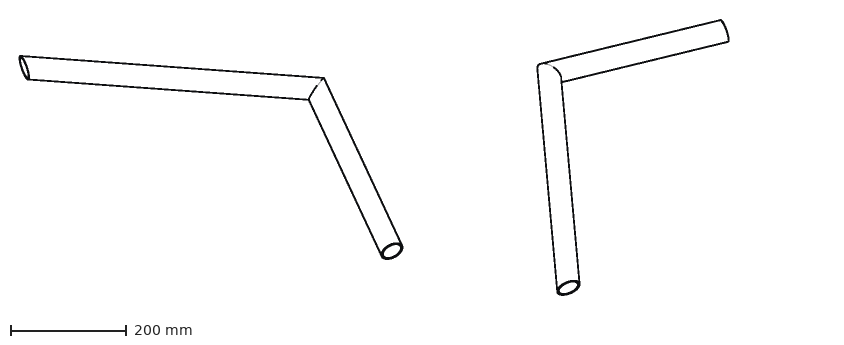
import cadquery as cq

outer_diameter = 40.0
inner_diameter = 34.0

short_leg_reach = 329.0
short_leg_drop = 66.9

long_leg_reach = 478.0
long_leg_side_shift = 167.25
long_leg_rise = 108.35

bend = cq.Vector(0, 0, 0)
short_end = bend + cq.Vector(short_leg_reach, 0, -short_leg_drop)
long_end = bend + cq.Vector(-long_leg_side_shift, -long_leg_reach, long_leg_rise)

overrun = 60.0
trim_size = 2000.0


def half_space(origin, normal):
    """Large block filling the side of a plane that its normal points to."""
    plane = cq.Plane(origin=origin, normal=normal)
    return cq.Workplane(plane).rect(trim_size, trim_size).extrude(trim_size)


def leg(end, diameter, miter_normal, end_normal):
    """Round bar from the bend to an end, trimmed on the miter plane and on the end plane."""
    centreline = end - bend
    direction = centreline.normalized()
    start_plane = cq.Plane(origin=bend - direction * overrun, normal=direction)
    bar = cq.Workplane(start_plane).circle(diameter / 2).extrude(centreline.Length + 2 * overrun)
    return bar.cut(half_space(bend, miter_normal)).cut(half_space(end, end_normal))


def bent_bar(diameter):
    """Both legs joined on the miter plane that bisects the bend."""
    short_direction = (short_end - bend).normalized()
    long_direction = (long_end - bend).normalized()
    toward_short = short_direction - long_direction
    short_leg = leg(short_end, diameter, -toward_short, cq.Vector(1, 0, 0))
    long_leg = leg(long_end, diameter, toward_short, cq.Vector(0, -1, 0))
    return short_leg.union(long_leg)


result = bent_bar(outer_diameter).cut(bent_bar(inner_diameter))